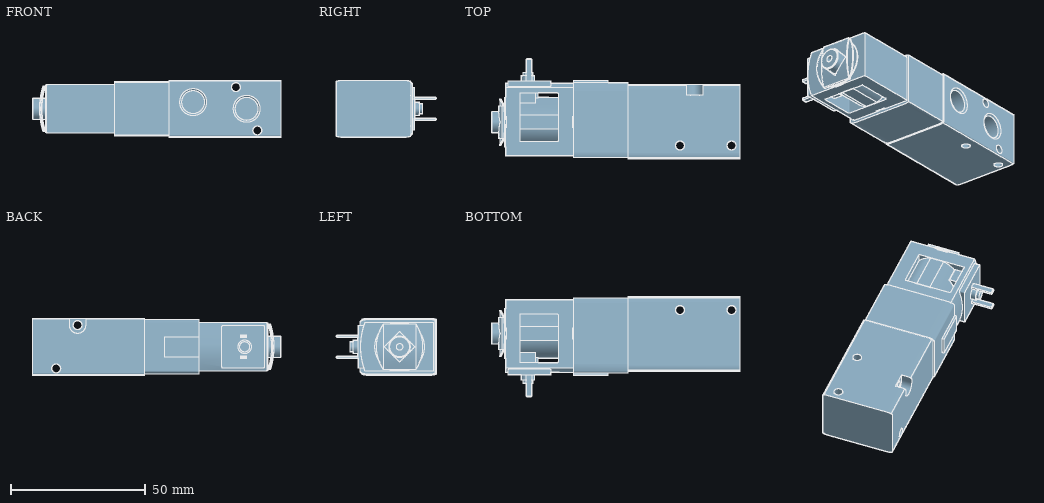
import cadquery as cq
import math


CLIP_X = 2.7
WINDING_X = 5.0
COIL_X = 5.4
PILOT_X = 30.6
VALVE_X = 50.95
LENGTH = 92.6

VALVE_WIDTH = 27.8
VALVE_HEIGHT = 21.2
VALVE_HALF_HEIGHT = VALVE_HEIGHT / 2
CROWN_LENGTH = 2.0
EDGE_WIDTH = 0.5
EDGE_HEIGHT = 0.4
CROWN_DROP = 0.3
PORT_PLACES = [(59.8, 2.5), (79.8, 0.0)]
PORT_DIAMETER = 8.5
PORT_MOUTH_DIAMETER = 10.0
PORT_DEPTH = 9.3
MOUNT_HOLE_DIAMETER = 3.2
MOUNT_OFFSET_Z = 8.1
SLOTTED_HOLE_X = 75.8
CROSS_HOLES = [(SLOTTED_HOLE_X, MOUNT_OFFSET_Z), (83.75, -MOUNT_OFFSET_Z)]
VERTICAL_HOLES = [(70.2, 5.0), (89.4, 5.0)]
SLOT_WIDTH = 6.1
SLOT_DEPTH = 4.1

PILOT_FRONT_Y = 0.5
PILOT_BACK_Y = 28.4
PILOT_HALF_HEIGHT = 10.2
PILOT_FRONT_ROUND = (1.9, 0.4)
PILOT_BACK_CROWN = (2.6, 0.4)
PILOT_BACK_EDGE = (0.7, 0.9)
PAD_THICKNESS = 0.8
PAD_LENGTH = 12.9
PAD_HALF_HEIGHT = 3.7

AXIS_Y = 13.7
STEM_DIAMETER = 8.0
STEM_CHAMFER = 0.3
STEM_HOLE_DIAMETER = 2.4
STEM_HOLE_DEPTH = 4.6

COIL_FRONT_Y = 1.1
COIL_BACK_Y = 26.6
COIL_CROWN = 1.7
COIL_HALF_HEIGHT = 9.1
WINDING_RADIUS = 9.3
WINDING_HALF_HEIGHT = 8.9
RECESS_DIAMETER = 18.25
RECESS_DEPTH = 0.4
WINDOW_X = (10.7, 25.0)
WINDOW_Y = (6.5, 24.55)
WINDOW_ROUND = 0.6
LUG_END_X = 16.4
LUG_STEP_X = 17.4
LUG_FRONT_Y = 20.75
LUG_HALF_HEIGHT = 6.4
LUG_STEP_HALF_HEIGHT = 2.1

PLATE_X = (6.2, 22.1)
PLATE_BACK_Y = 29.1
PLATE_HALF_HEIGHT = 8.0
PLATE_ROUND = 0.6
BLADE_X = 14.1
BLADE_WIDTH = 2.1
BLADE_THICKNESS = 0.8
BLADE_OFFSET_Z = 3.9
BLADE_END_Y = 37.3
BLADE_CHAMFER = 0.3
BOSS_X = 13.6
BOSS_DIAMETER = 5.0
BOSS_END_Y = 31.0
PIN_DIAMETER = 3.8
PIN_END_Y = 32.2

CLIP_THICKNESS = 0.5
CLIP_HALF_HEIGHT = 8.5
CLIP_BOW = 1.3
CLIP_STRIP_HALF_WIDTH = 6.0
CLIP_WING_REACH = 8.6
CLIP_OPENING = 8.1


def box(x_range, y_range, z_range):
    """Box between the given limits."""
    size = [high - low for low, high in (x_range, y_range, z_range)]
    corner = (x_range[0], y_range[0], z_range[0])
    return cq.Workplane("XY").box(*size, centered=False).translate(corner)


def slab(x_range, y_range, half_height):
    """Box that is symmetric about the mid-plane."""
    return box(x_range, y_range, (-half_height, half_height))


def rod_x(diameter, x_start, x_end):
    """Cylinder on the stem axis."""
    plane = cq.Workplane("YZ", origin=(x_start, AXIS_Y, 0))
    return plane.circle(diameter / 2).extrude(x_end - x_start)


def rod_y(diameter, x, z, y_start, y_end):
    """Cylinder along Y."""
    plane = cq.Workplane("XZ", origin=(x, y_start, z))
    return plane.circle(diameter / 2).extrude(y_start - y_end)


def make_port(x, z):
    """Blind port with a chamfered mouth in the port face."""
    mouth_depth = (PORT_MOUTH_DIAMETER - PORT_DIAMETER) / 2
    port = rod_y(PORT_DIAMETER, x, z, 0, PORT_DEPTH)
    mouth = (
        cq.Workplane("XZ", origin=(x, 0, z))
        .circle(PORT_MOUTH_DIAMETER / 2)
        .workplane(offset=-mouth_depth)
        .circle(PORT_DIAMETER / 2)
        .loft()
    )
    return port.union(mouth)


def make_screw_slot():
    """Round-bottomed slot around a mounting hole, open to the back and to the top."""
    start = VALVE_WIDTH - SLOT_DEPTH
    half_width = SLOT_WIDTH / 2
    x_range = (SLOTTED_HOLE_X - half_width, SLOTTED_HOLE_X + half_width)
    channel = box(x_range, (start, VALVE_WIDTH), (MOUNT_OFFSET_Z, VALVE_HALF_HEIGHT))
    return channel.union(rod_y(SLOT_WIDTH, SLOTTED_HOLE_X, MOUNT_OFFSET_Z, start, VALVE_WIDTH))


def round_middle(flat_end, steep_end):
    """Middle point of a convex quarter-ellipse that is level at flat_end and upright at steep_end."""
    (flat_y, flat_z), (steep_y, steep_z) = flat_end, steep_end
    share = math.sqrt(0.5)
    return (steep_y * share + flat_y * (1 - share), steep_z * (1 - share) + flat_z * share)


def crown_middle(flat_end, low_end):
    """Middle point of a shallow arc that is level at flat_end."""
    (flat_y, flat_z), (low_y, low_z) = flat_end, low_end
    return ((flat_y + low_y) / 2, flat_z + (low_z - flat_z) / 4)


def bar_with_mirror(half_sketch, length):
    """Bar along X whose lower half mirrors the sketched upper half."""
    half = half_sketch.close().extrude(length)
    return half.union(half.mirror("XY"))


def make_valve_block():
    """Valve block with ports, mounting holes and a screw slot."""
    top = VALVE_HALF_HEIGHT
    shoulder = top - CROWN_DROP
    side = shoulder - EDGE_HEIGHT
    front = (0, side)
    front_shoulder = (EDGE_WIDTH, shoulder)
    front_top = (CROWN_LENGTH, top)
    back_top = (VALVE_WIDTH - CROWN_LENGTH, top)
    back_shoulder = (VALVE_WIDTH - EDGE_WIDTH, shoulder)
    back = (VALVE_WIDTH, side)
    sketch = (
        cq.Workplane("YZ", origin=(VALVE_X, 0, 0))
        .lineTo(*front)
        .threePointArc(round_middle(front_shoulder, front), front_shoulder)
        .threePointArc(crown_middle(front_top, front_shoulder), front_top)
        .lineTo(*back_top)
        .threePointArc(crown_middle(back_top, back_shoulder), back_shoulder)
        .threePointArc(round_middle(back_shoulder, back), back)
        .lineTo(VALVE_WIDTH, 0)
    )
    block = bar_with_mirror(sketch, LENGTH - VALVE_X)
    for x, z in PORT_PLACES:
        block = block.cut(make_port(x, z))
    for x, z in CROSS_HOLES:
        block = block.cut(rod_y(MOUNT_HOLE_DIAMETER, x, z, 0, VALVE_WIDTH))
    for x, y in VERTICAL_HOLES:
        hole = cq.Workplane("XY", origin=(x, y, -top)).circle(MOUNT_HOLE_DIAMETER / 2).extrude(2 * top)
        block = block.cut(hole)
    return block.cut(make_screw_slot())


def make_pilot_block():
    """Pilot block with rounded long edges and a raised pad on its back."""
    top = PILOT_HALF_HEIGHT
    front_length, front_drop = PILOT_FRONT_ROUND
    crown_length, crown_drop = PILOT_BACK_CROWN
    edge_width, edge_height = PILOT_BACK_EDGE
    shoulder_y = PILOT_BACK_Y - edge_width
    shoulder_z = top - crown_drop
    front = (PILOT_FRONT_Y, top - front_drop)
    front_top = (PILOT_FRONT_Y + front_length, top)
    back_top = (shoulder_y - crown_length, top)
    back_shoulder = (shoulder_y, shoulder_z)
    back = (PILOT_BACK_Y, shoulder_z - edge_height)
    sketch = (
        cq.Workplane("YZ", origin=(PILOT_X, 0, 0))
        .moveTo(PILOT_FRONT_Y, 0)
        .lineTo(*front)
        .threePointArc(crown_middle(front_top, front), front_top)
        .lineTo(*back_top)
        .threePointArc(crown_middle(back_top, back_shoulder), back_shoulder)
        .threePointArc(round_middle(back_shoulder, back), back)
        .lineTo(PILOT_BACK_Y, 0)
    )
    block = bar_with_mirror(sketch, VALVE_X - PILOT_X)
    pad_x = (PILOT_X, PILOT_X + PAD_LENGTH)
    return block.union(slab(pad_x, (PILOT_BACK_Y, PILOT_BACK_Y + PAD_THICKNESS), PAD_HALF_HEIGHT))


def make_stem():
    """Core stem with a chamfered tip and a centre hole."""
    stem = rod_x(STEM_DIAMETER, 0, PILOT_X).faces("<X").chamfer(STEM_CHAMFER)
    hole = rod_x(STEM_HOLE_DIAMETER, 0, STEM_HOLE_DEPTH)
    return stem.cut(hole)


def make_valve():
    """Valve block, pilot block and core stem as one solid."""
    return make_valve_block().union(make_pilot_block()).union(make_stem())


def make_frame():
    """Coil frame with a curved back, a window and a shallow round recess in each end."""
    frame = (
        cq.Workplane("YZ", origin=(COIL_X, 0, 0))
        .moveTo(COIL_BACK_Y, -COIL_HALF_HEIGHT)
        .lineTo(COIL_FRONT_Y, -COIL_HALF_HEIGHT)
        .lineTo(COIL_FRONT_Y, COIL_HALF_HEIGHT)
        .lineTo(COIL_BACK_Y, COIL_HALF_HEIGHT)
        .threePointArc((COIL_BACK_Y + COIL_CROWN, 0), (COIL_BACK_Y, -COIL_HALF_HEIGHT))
        .close()
        .extrude(PILOT_X - COIL_X)
    )
    window = slab(WINDOW_X, WINDOW_Y, COIL_HALF_HEIGHT).edges("|Z and >X").fillet(WINDOW_ROUND)
    for x in (COIL_X, PILOT_X - RECESS_DEPTH):
        frame = frame.cut(rod_x(RECESS_DIAMETER, x, x + RECESS_DEPTH))
    return frame.cut(window)


def make_winding():
    """Round winding with flats above and below."""
    x_range = (WINDING_X, PILOT_X)
    flats = slab(x_range, (AXIS_Y - WINDING_RADIUS, AXIS_Y + WINDING_RADIUS), WINDING_HALF_HEIGHT)
    return rod_x(2 * WINDING_RADIUS, *x_range).intersect(flats)


def make_lug():
    """Stepped lug between the winding and the terminal side of the window."""
    y_range = (LUG_FRONT_Y, WINDOW_Y[1])
    lug = slab((WINDOW_X[0], LUG_END_X), y_range, LUG_HALF_HEIGHT)
    return lug.union(slab((LUG_END_X, LUG_STEP_X), y_range, LUG_STEP_HALF_HEIGHT))


def make_terminals():
    """Terminal plate with a stepped centre pin and two blades."""
    plate = slab(PLATE_X, (COIL_BACK_Y, PLATE_BACK_Y), PLATE_HALF_HEIGHT).edges("|Y").fillet(PLATE_ROUND)
    boss = rod_y(BOSS_DIAMETER, BOSS_X, 0, PLATE_BACK_Y, BOSS_END_Y)
    pin = rod_y(PIN_DIAMETER, BOSS_X, 0, BOSS_END_Y, PIN_END_Y)
    terminals = plate.union(boss).union(pin)
    blade_x = (BLADE_X - BLADE_WIDTH / 2, BLADE_X + BLADE_WIDTH / 2)
    blade = slab(blade_x, (PLATE_BACK_Y, BLADE_END_Y), BLADE_THICKNESS / 2)
    blade = blade.faces(">Y").edges().chamfer(BLADE_CHAMFER)
    for z in (-BLADE_OFFSET_Z, BLADE_OFFSET_Z):
        terminals = terminals.union(blade.translate((0, 0, z)))
    return terminals


def make_coil():
    """Coil frame, winding, lug and terminals, bored for the stem."""
    bore = rod_x(STEM_DIAMETER, WINDING_X, PILOT_X)
    coil = make_frame().union(make_winding()).union(make_lug()).union(make_terminals())
    return coil.cut(bore)


def bent_sheet(front_x, half_width):
    """Sheet bowed about Y, with its middle furthest towards -X."""
    bend_radius = (CLIP_HALF_HEIGHT**2 + CLIP_BOW**2) / (2 * CLIP_BOW)
    reach = (AXIS_Y - half_width, AXIS_Y + half_width)
    bend_axis = (front_x + bend_radius, reach[0], 0)
    ring = (
        cq.Workplane("XZ", origin=bend_axis)
        .circle(bend_radius)
        .circle(bend_radius - CLIP_THICKNESS)
        .extrude(-2 * half_width)
    )
    return ring.intersect(slab((front_x, front_x + CLIP_BOW + CLIP_THICKNESS), reach, CLIP_HALF_HEIGHT))


def wing_outline(x_start, x_end):
    """Lens-like outline that ends in the strip corners and is widest at the mid-plane."""
    side_y = CLIP_STRIP_HALF_WIDTH
    return (
        cq.Workplane("YZ", origin=(x_start, AXIS_Y, 0))
        .moveTo(-side_y, -CLIP_HALF_HEIGHT)
        .lineTo(side_y, -CLIP_HALF_HEIGHT)
        .threePointArc((CLIP_WING_REACH, 0), (side_y, CLIP_HALF_HEIGHT))
        .lineTo(-side_y, CLIP_HALF_HEIGHT)
        .threePointArc((-CLIP_WING_REACH, 0), (-side_y, -CLIP_HALF_HEIGHT))
        .close()
        .extrude(x_end - x_start)
    )


def make_clip():
    """Spring clip: a bowed strip backed by a wider leaf with rounded wings."""
    strip = bent_sheet(CLIP_X, CLIP_STRIP_HALF_WIDTH)
    leaf = bent_sheet(CLIP_X + CLIP_THICKNESS, CLIP_WING_REACH).intersect(wing_outline(CLIP_X, COIL_X))
    clip = strip.union(leaf)
    opening = (
        cq.Workplane("YZ", origin=(CLIP_X, AXIS_Y, 0))
        .transformed(rotate=(0, 0, 45))
        .rect(CLIP_OPENING, CLIP_OPENING)
        .extrude(COIL_X - CLIP_X)
    )
    return clip.cut(opening)


valve = make_valve()
coil = make_coil()
clip = make_clip()
result = cq.Compound.makeCompound([valve.val(), coil.val(), clip.val()])